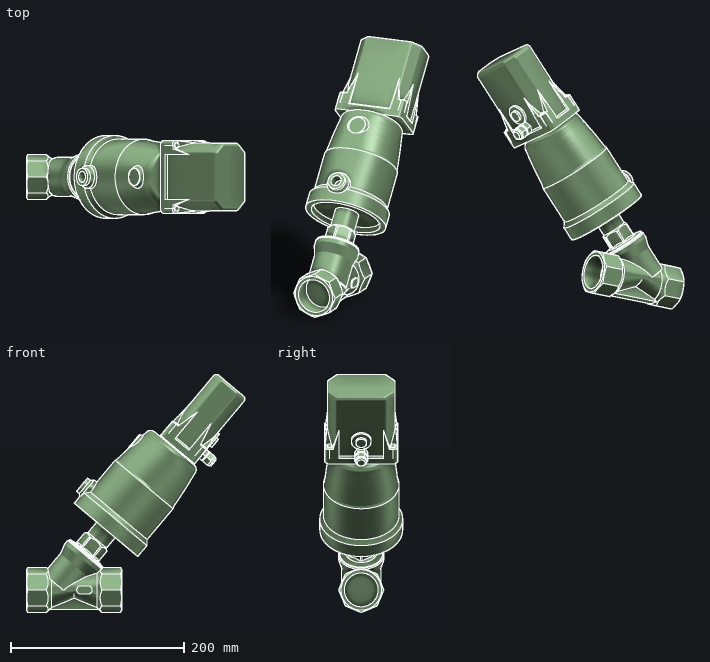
import cadquery as cq
import math

TILT = 40.0
JOIN = 1.5

PIPE_CENTRE_X = 21.5
PIPE_HALF_LENGTH = 55.0
PIPE_RADIUS = 21.5
PORT_CORNER_DIAMETER = 52.2
PORT_FACE_RADIUS = 23.5
PORT_CHAMFER = 1.5
PORT_LENGTH = 22.8
PORT_BORE_DIAMETER = 39.0
PORT_BORE_DEPTH = 22.5
PORT_NECK_RADIUS = 23.0
PORT_NECK_LENGTH = 3.3
COLLAR_LENGTH = 2.8
WAIST_HEIGHT = 10.0
WAIST_HALF_LENGTH = 26.5
WAIST_END_DEPTH = 21.2
RIB_BOTTOM = 22.8
RIB_THICKNESS = 11.0
PAD_OFFSET_X = 11.8
PAD_LENGTH = 18.0
PAD_WIDTH = 9.5
PAD_RISE = 1.0
BONNET_START = 5.5
BONNET_RADIUS = 22.8
BONNET_FLARE_START = 35.8
BONNET_HEAD_START = 47.0
BONNET_HEAD_RADIUS = 26.0
BONNET_TOP = 54.2
BONNET_CHAMFER = 1.5

FLANGE_RADIUS = 25.0
FLANGE_EDGE = 1.0
FLANGE_SHOULDER_RADIUS = 18.2
FLANGE_CONE_TOP = 59.5
NUT_START = 56.6
NUT_TOP = 74.8
NUT_ACROSS_FLATS = 30.0
NUT_CORNER_RADIUS = 16.8
NUT_CHAMFER = 2.8
TUBE_RADIUS = 14.0

ACTUATOR_BASE = 90.5
BASE_RADIUS = 48.0
BASE_TOP = 107.0
CYLINDER_START = 112.5
CYLINDER_RADIUS = 43.7
SEAM_START = 159.0
SEAM_TOP = 161.7
SEAM_STEP = 1.0
SHOULDER = 206.2
SHOULDER_RADIUS = 36.8
DOME_MID_HEIGHT = 184.2
DOME_MID_RADIUS = 40.2
ACTUATOR_TOP = 213.5
TOP_RADIUS = 30.0
RECESS_DIAMETER = 82.2
RECESS_FLOOR_DIAMETER = 79.8
RECESS_DEPTH = 6.0
BOSS_RADIUS = 10.05
BOSS_FOOT_FLARE = 3.3
AIR_PORT_HEIGHT = 112.8
AIR_PORT_REACH = 54.7
AIR_PORT_FOOT = 50.5
AIR_PORT_DIAMETER = 12.5
AIR_PORT_DEPTH = 13.8
PLUG_HEIGHT = 189.8
PLUG_REACH = 41.2
PLUG_FOOT = 40.2

HEAD_BASE = 214.5
HEAD_CENTRE_X = 3.7
HEAD_SPIGOT_RADIUS = 19.95
FOOT_LENGTH_X = 51.5
FOOT_WIDTH_Y = 84.7
FOOT_CORNER = 5.8
FOOT_PLATE_TOP = 222.5
POST_TOP = 236.0
COVER_LENGTH_X = 46.2
COVER_WIDTH_Y = 78.5
COVER_CHAMFER = 11.0
COVER_EDGE_FILLET = 4.5
COVER_TOP = 311.0
COVER_TOP_FILLET = 4.5
GAP_X = 20.5
GAP_Y = 51.7
FIN_TOP = 262.5
FIN_FOOT_WIDTH = 6.5
POST_LEAN = 0.8
LIP_HEIGHT = 2.0
SCREW_DIAMETER = 6.0
SCREW_RISE = 1.5
GLAND_HEIGHT = 229.5
GLAND_ACROSS_FLATS = 13.5
GLAND_COLLAR_END = 33.3
GLAND_GROOVE_END = 34.5
GLAND_HEX_END = 41.8
GLAND_END = 45.6
GLAND_DIAMETER = 12.5
GLAND_EDGE = 1.6
VENT_HEIGHT = 248.0
VENT_DISC_DIAMETER = 23.0
VENT_DISC_END = 29.5
VENT_CAP_END = 32.5
VENT_CAP_DIAMETER = 12.5


def tilted(upright):
    return upright.rotate((0, 0, 0), (0, 1, 0), TILT)


def turned(points):
    """Solid of revolution about Z from (radius, height) corners; the axis closes the outline."""
    outline = [(0, points[0][1])] + points + [(0, points[-1][1])]
    return cq.Workplane("XZ").polyline(outline).close().revolve(360, (0, 0), (0, 1))


def along_x(solid, height):
    """Lay an upright turned or prismatic piece along +X at the given height."""
    return solid.rotate((0, 0, 0), (0, 1, 0), 90).translate((0, 0, height))


def across_corners(across_flats):
    return across_flats / math.cos(math.pi / 6)


def pipe_port():
    """Octagonal threaded end on +X, chamfered to round at both ends."""
    corner = PORT_CORNER_DIAMETER / 2
    inner = PIPE_HALF_LENGTH - PORT_LENGTH
    neck = inner - PORT_NECK_LENGTH
    octagon = (
        cq.Workplane("XY")
        .workplane(offset=neck)
        .polygon(8, PORT_CORNER_DIAMETER)
        .extrude(PIPE_HALF_LENGTH - neck)
    )
    envelope = turned([
        (PORT_NECK_RADIUS, neck),
        (corner, inner),
        (corner, PIPE_HALF_LENGTH - PORT_CHAMFER),
        (PORT_FACE_RADIUS, PIPE_HALF_LENGTH),
    ])
    collar = turned([
        (PIPE_RADIUS, neck - COLLAR_LENGTH),
        (PORT_NECK_RADIUS, neck),
        (PORT_NECK_RADIUS, neck + JOIN),
    ])
    return along_x(octagon.intersect(envelope).union(collar), 0)


def pipe_waist():
    """Half-round upper wall over a lower wall that rises to a low arch at mid-length."""
    half = PIPE_HALF_LENGTH - PORT_LENGTH
    upper = (
        cq.Workplane("YZ")
        .workplane(offset=-half)
        .moveTo(PIPE_RADIUS, 0)
        .threePointArc((0, PIPE_RADIUS), (-PIPE_RADIUS, 0))
        .close()
        .extrude(2 * half)
    )

    straight = half - WAIST_HALF_LENGTH
    sections = (
        (-half, WAIST_END_DEPTH),
        (straight, WAIST_END_DEPTH),
        (WAIST_HALF_LENGTH, WAIST_HEIGHT),
        (WAIST_HALF_LENGTH, WAIST_END_DEPTH),
        (straight, WAIST_END_DEPTH),
    )
    lower = cq.Workplane("YZ")
    for step, depth in sections:
        lower = (
            lower.workplane(offset=step)
            .moveTo(-PIPE_RADIUS, 0)
            .ellipseArc(PIPE_RADIUS, depth, 180, 360, startAtCurrent=True)
            .close()
        )
    return upper.union(lower.loft(ruled=True))


def pipe_rib():
    half = PIPE_HALF_LENGTH - PORT_LENGTH
    plate = cq.Workplane("XY").box(2 * half, RIB_THICKNESS, RIB_BOTTOM, centered=(True, True, False))
    return plate.translate((0, 0, -RIB_BOTTOM))


def marking_pad():
    return (
        cq.Workplane("XZ")
        .center(PAD_OFFSET_X, 0)
        .slot2D(PAD_LENGTH, PAD_WIDTH)
        .extrude(PIPE_RADIUS + PAD_RISE)
    )


def bonnet():
    """Inclined neck with a flared head; only the part above the pipe axis plane exists."""
    neck = turned([
        (BONNET_RADIUS, BONNET_START),
        (BONNET_RADIUS, BONNET_FLARE_START),
        (BONNET_HEAD_RADIUS, BONNET_HEAD_START),
        (BONNET_HEAD_RADIUS, BONNET_TOP - BONNET_CHAMFER),
        (BONNET_HEAD_RADIUS - BONNET_CHAMFER, BONNET_TOP),
    ])
    clear_size = 4 * BONNET_TOP
    above_axis = cq.Workplane("XY").box(clear_size, clear_size, clear_size, centered=(True, True, False))
    return tilted(neck).intersect(above_axis)


def flange_relief():
    """Clearance that keeps the near pipe port away from the nipple flange."""
    return tilted(
        cq.Workplane("XY").workplane(offset=BONNET_TOP).circle(FLANGE_RADIUS).extrude(NUT_START - BONNET_TOP)
    )


def make_valve_body():
    port = pipe_port()
    pipe = pipe_waist().union(pipe_rib()).union(marking_pad()).union(port).union(port.mirror("YZ"))
    body = pipe.translate((PIPE_CENTRE_X, 0, 0)).union(bonnet()).cut(flange_relief())
    for side in (-1, 1):
        bore = cq.Workplane("YZ").circle(PORT_BORE_DIAMETER / 2).extrude(-side * PORT_BORE_DEPTH)
        body = body.cut(bore.translate((PIPE_CENTRE_X + side * PIPE_HALF_LENGTH, 0, 0)))
    return body


def make_nipple():
    flange = turned([
        (FLANGE_RADIUS, BONNET_TOP),
        (FLANGE_RADIUS, BONNET_TOP + FLANGE_EDGE),
        (FLANGE_SHOULDER_RADIUS, NUT_START),
        (TUBE_RADIUS, FLANGE_CONE_TOP),
    ])
    hexagon = (
        cq.Workplane("XY")
        .workplane(offset=NUT_START)
        .polygon(6, across_corners(NUT_ACROSS_FLATS))
        .extrude(NUT_TOP - NUT_START)
    )
    envelope = turned([
        (NUT_CORNER_RADIUS, NUT_START),
        (NUT_CORNER_RADIUS, NUT_TOP - NUT_CHAMFER),
        (TUBE_RADIUS, NUT_TOP),
    ])
    tube = turned([(TUBE_RADIUS, NUT_TOP - JOIN), (TUBE_RADIUS, ACTUATOR_BASE + RECESS_DEPTH)])
    return tilted(flange.union(hexagon.intersect(envelope)).union(tube))


def actuator_shell():
    corner = math.sqrt(0.5)
    round_width = SHOULDER_RADIUS - TOP_RADIUS
    round_height = ACTUATOR_TOP - SHOULDER
    return (
        cq.Workplane("XZ")
        .moveTo(0, ACTUATOR_BASE)
        .lineTo(BASE_RADIUS, ACTUATOR_BASE)
        .lineTo(BASE_RADIUS, BASE_TOP)
        .lineTo(CYLINDER_RADIUS, CYLINDER_START)
        .lineTo(CYLINDER_RADIUS, SEAM_START)
        .lineTo(CYLINDER_RADIUS - SEAM_STEP, SEAM_TOP)
        .threePointArc((DOME_MID_RADIUS, DOME_MID_HEIGHT), (SHOULDER_RADIUS, SHOULDER))
        .threePointArc(
            (TOP_RADIUS + corner * round_width, SHOULDER + corner * round_height),
            (TOP_RADIUS, ACTUATOR_TOP),
        )
        .lineTo(0, ACTUATOR_TOP)
        .close()
        .revolve(360, (0, 0), (0, 1))
    )


def side_boss(reach, foot, height):
    """Round boss on the -X side that widens towards the shell from its foot inwards."""
    flare_end = foot - BOSS_FOOT_FLARE
    foot_radius = BOSS_RADIUS + BOSS_FOOT_FLARE
    boss = turned([
        (foot_radius, TOP_RADIUS),
        (foot_radius, flare_end),
        (BOSS_RADIUS, foot),
        (BOSS_RADIUS, reach),
    ])
    return boss.rotate((0, 0, 0), (0, 1, 0), -90).translate((0, 0, height))


def make_actuator():
    recess = turned([
        (RECESS_DIAMETER / 2, ACTUATOR_BASE),
        (RECESS_FLOOR_DIAMETER / 2, ACTUATOR_BASE + RECESS_DEPTH),
    ])
    air_hole = (
        cq.Workplane("YZ")
        .circle(AIR_PORT_DIAMETER / 2)
        .extrude(AIR_PORT_DEPTH)
        .translate((-AIR_PORT_REACH, 0, AIR_PORT_HEIGHT))
    )
    actuator = (
        actuator_shell()
        .union(side_boss(AIR_PORT_REACH, AIR_PORT_FOOT, AIR_PORT_HEIGHT))
        .union(side_boss(PLUG_REACH, PLUG_FOOT, PLUG_HEIGHT))
        .cut(recess)
        .cut(air_hole)
    )
    return tilted(actuator)


def head_foot():
    """Rounded base plate with four corner posts left between the side gaps."""
    foot = (
        cq.Workplane("XY")
        .workplane(offset=HEAD_BASE)
        .rect(FOOT_LENGTH_X, FOOT_WIDTH_Y)
        .extrude(POST_TOP - HEAD_BASE)
        .edges("|Z")
        .fillet(FOOT_CORNER)
    )
    post_height = POST_TOP - FOOT_PLATE_TOP
    for size_x, size_y in ((GAP_X, FOOT_WIDTH_Y), (FOOT_LENGTH_X, GAP_Y)):
        gap = cq.Workplane("XY").box(size_x, size_y, post_height, centered=(True, True, False))
        foot = foot.cut(gap.translate((0, 0, FOOT_PLATE_TOP)))
    for length, width, spin in ((FOOT_LENGTH_X, FOOT_WIDTH_Y, 0), (FOOT_WIDTH_Y, FOOT_LENGTH_X, 90)):
        shaving = post_shaving(length / 2, width - 2 * FOOT_CORNER).rotate((0, 0, 0), (0, 0, 1), spin)
        foot = foot.cut(shaving).cut(shaving.rotate((0, 0, 0), (0, 0, 1), 180))
    return foot


def post_shaving(reach, width):
    """Thin wedge that makes the flat outer faces of the posts lean inwards."""
    return (
        cq.Workplane("XZ")
        .polyline([(reach, FOOT_PLATE_TOP), (reach, POST_TOP), (reach - POST_LEAN, POST_TOP)])
        .close()
        .extrude(width / 2, both=True)
    )


def gap_lips():
    """Sloped lips that close the bottom of each side gap."""
    lips = cq.Workplane("XY")
    sides = (
        (FOOT_LENGTH_X / 2, COVER_LENGTH_X / 2, GAP_Y, 0),
        (FOOT_WIDTH_Y / 2, COVER_WIDTH_Y / 2, GAP_X, 90),
    )
    for foot_reach, cover_reach, width, spin in sides:
        lip = (
            cq.Workplane("XZ")
            .polyline([
                (cover_reach - JOIN, FOOT_PLATE_TOP - JOIN),
                (foot_reach, FOOT_PLATE_TOP - JOIN),
                (foot_reach, FOOT_PLATE_TOP),
                (cover_reach, FOOT_PLATE_TOP + LIP_HEIGHT),
                (cover_reach - JOIN, FOOT_PLATE_TOP + LIP_HEIGHT),
            ])
            .close()
            .extrude(width / 2, both=True)
            .rotate((0, 0, 0), (0, 0, 1), spin)
        )
        lips = lips.add(lip).add(lip.rotate((0, 0, 0), (0, 0, 1), 180))
    return lips.combine()


def head_cover():
    return (
        cq.Workplane("XY")
        .workplane(offset=HEAD_BASE)
        .rect(COVER_LENGTH_X, COVER_WIDTH_Y)
        .extrude(COVER_TOP - HEAD_BASE)
        .edges("|Z")
        .chamfer(COVER_CHAMFER)
        .edges("|Z")
        .fillet(COVER_EDGE_FILLET)
        .faces(">Z")
        .edges()
        .fillet(COVER_TOP_FILLET)
    )


def leaning_fin(foot_reach, cover_reach, gap):
    """Fin on the +X face beside the +Y edge of its gap, leaning into the cover at the top."""
    root = cover_reach - COVER_CHAMFER
    lean = (
        cq.Workplane("XZ")
        .polyline([
            (root, FOOT_PLATE_TOP),
            (foot_reach, FOOT_PLATE_TOP),
            (foot_reach - POST_LEAN, POST_TOP),
            (cover_reach, FIN_TOP),
            (root, FIN_TOP),
        ])
        .close()
        .extrude(FOOT_WIDTH_Y, both=True)
    )
    inner = gap / 2
    outer = inner + FIN_FOOT_WIDTH
    taper = (
        cq.Workplane("YZ")
        .polyline([(inner, FOOT_PLATE_TOP), (outer, FOOT_PLATE_TOP), (outer, POST_TOP), (inner, FIN_TOP)])
        .close()
        .extrude(FOOT_WIDTH_Y)
    )
    return lean.intersect(taper)


def head_fins():
    short_side = leaning_fin(FOOT_LENGTH_X / 2, COVER_LENGTH_X / 2, GAP_Y)
    long_side = leaning_fin(FOOT_WIDTH_Y / 2, COVER_WIDTH_Y / 2, GAP_X)
    corner = short_side.union(long_side.rotate((0, 0, 0), (0, 0, 1), 90).mirror("YZ"))
    pair = corner.union(corner.mirror("YZ"))
    return pair.union(pair.mirror("XZ"))


def post_screws():
    inset = FOOT_CORNER
    return (
        cq.Workplane("XY")
        .workplane(offset=POST_TOP - JOIN)
        .rect(FOOT_LENGTH_X - 2 * inset, FOOT_WIDTH_Y - 2 * inset, forConstruction=True)
        .vertices()
        .circle(SCREW_DIAMETER / 2)
        .extrude(JOIN + SCREW_RISE)
    )


def cable_gland():
    """Hexagonal collar and nut with a groove between them and a round tip."""
    hexagon_diameter = across_corners(GLAND_ACROSS_FLATS)
    radius = GLAND_DIAMETER / 2
    core = turned([
        (radius, 0),
        (radius, GLAND_END - GLAND_EDGE),
        (radius - GLAND_EDGE, GLAND_END),
    ])
    for start, end in ((0, GLAND_COLLAR_END), (GLAND_GROOVE_END, GLAND_HEX_END)):
        section = cq.Workplane("XY").workplane(offset=start).polygon(6, hexagon_diameter)
        core = core.union(section.extrude(end - start).rotate((0, 0, 0), (0, 0, 1), 90))
    return along_x(core, GLAND_HEIGHT)


def vent():
    return along_x(
        turned([
            (VENT_DISC_DIAMETER / 2, 0),
            (VENT_DISC_DIAMETER / 2, VENT_DISC_END),
            (VENT_CAP_DIAMETER / 2, VENT_DISC_END),
            (VENT_CAP_DIAMETER / 2, VENT_CAP_END),
        ]),
        VENT_HEIGHT,
    )


def make_control_head():
    spigot = turned([(HEAD_SPIGOT_RADIUS, ACTUATOR_TOP), (HEAD_SPIGOT_RADIUS, HEAD_BASE + JOIN)])
    housing = head_foot().union(head_cover()).union(head_fins()).union(gap_lips()).union(post_screws())
    housing = housing.translate((HEAD_CENTRE_X, 0, 0))
    return tilted(housing.union(spigot).union(cable_gland()).union(vent()))


valve_body = make_valve_body()
nipple = make_nipple()
actuator = make_actuator()
control_head = make_control_head()

result = cq.Compound.makeCompound([
    valve_body.solids().val(),
    nipple.solids().val(),
    actuator.solids().val(),
    control_head.solids().val(),
])